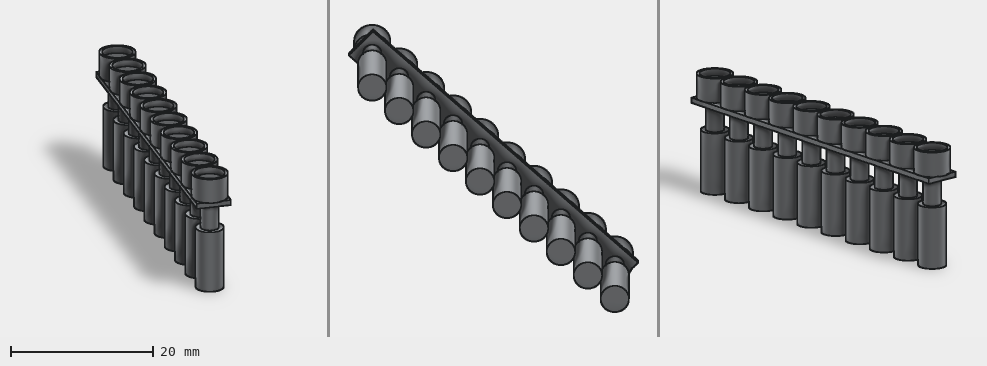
import cadquery as cq

screw_count = 10
overall_length = 51.95

sleeve_diameter = 4.0
neck_diameter = 2.6
head_diameter = 5.15
recess_diameter = 4.3

sleeve_height = 9.05
neck_height = 3.9
bar_thickness = 0.8
head_height = 3.6
recess_depth = 1.05

bar_length = 51.15
bar_width = 5.0

neck_base = sleeve_height
bar_base = neck_base + neck_height
head_base = bar_base + bar_thickness
head_top = head_base + head_height
pitch = (overall_length - head_diameter) / (screw_count - 1)
screw_positions = [((i - (screw_count - 1) / 2) * pitch, 0) for i in range(screw_count)]


def cylinders(diameter, base, height):
    """One upright cylinder at every screw position."""
    plane = cq.Workplane("XY", origin=(0, 0, base))
    return plane.pushPoints(screw_positions).circle(diameter / 2).extrude(height)


bar = cq.Workplane("XY", origin=(0, 0, bar_base)).rect(bar_length, bar_width).extrude(bar_thickness)
sleeves = cylinders(sleeve_diameter, 0, sleeve_height)
necks = cylinders(neck_diameter, neck_base, neck_height)
heads = cylinders(head_diameter, head_base, head_height)
recesses = cylinders(recess_diameter, head_top - recess_depth, recess_depth)

result = bar.union(necks).union(sleeves).union(heads).cut(recesses)